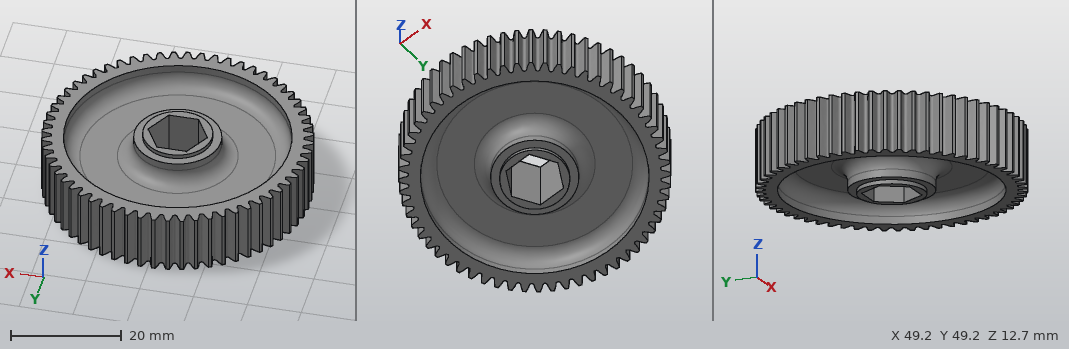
import cadquery as cq
import math

outer_width = 49.15
tooth_count = 60
pressure_angle = math.radians(20)
dedendum_factor = 1.25
form_depth_factor = 0.95
flank_points = 5

overall_height = 12.7
face_width = 11.1
web_thickness = 2.25
recess_radius = 20.65
recess_fillet = 2.95

hub_radius = 7.95
collar_radius = 6.35
hex_across_flats = 9.55
hex_across_corners = hex_across_flats / math.cos(math.pi / 6)


def involute(angle):
    return math.tan(angle) - angle


def gap_half_angle(radius_ratio):
    """Half of the angle a tooth gap spans at a given multiple of the pitch radius."""
    flank_angle = math.acos(math.cos(pressure_angle) / radius_ratio)
    return math.pi / (2 * tooth_count) + involute(flank_angle) - involute(pressure_angle)


tip_ratio = (tooth_count + 2) / tooth_count
tip_radius = outer_width / 2 / math.cos(gap_half_angle(tip_ratio))
pitch_radius = tip_radius / tip_ratio
module = 2 * pitch_radius / tooth_count
root_radius = pitch_radius - dedendum_factor * module
form_radius = pitch_radius - form_depth_factor * module


def flank_point(radius):
    angle = gap_half_angle(radius / pitch_radius)
    return (radius * math.cos(angle), radius * math.sin(angle))


def make_tooth_gap():
    """Cutter for the gap on the +X axis: two involute flanks joined by a smooth root."""
    radius_step = (tip_radius - form_radius) / (flank_points - 1)
    upper_flank = [flank_point(tip_radius - index * radius_step) for index in range(flank_points)]
    lower_flank = [(x, -y) for x, y in reversed(upper_flank)]
    gap_curve = upper_flank + [(root_radius, 0)] + lower_flank
    outside_x = tip_radius + module
    half_opening = upper_flank[0][1]
    return (
        cq.Workplane("XY")
        .workplane(offset=-face_width / 2)
        .moveTo(outside_x, half_opening)
        .lineTo(*upper_flank[0])
        .spline(gap_curve[1:], includeCurrent=True)
        .lineTo(outside_x, -half_opening)
        .close()
        .extrude(face_width)
    )


def make_toothed_disc():
    disc = cq.Workplane("XY").circle(tip_radius).extrude(face_width / 2, both=True)
    gap = make_tooth_gap().val()
    gaps = [
        gap.rotate((0, 0, 0), (0, 0, 1), index * 360 / tooth_count)
        for index in range(tooth_count)
    ]
    return cq.Workplane("XY").newObject([disc.val().cut(*gaps)])


def make_recess():
    """Ring-shaped pocket in the top face, rounded along both edges of its floor."""
    return (
        cq.Workplane("XY")
        .workplane(offset=web_thickness / 2)
        .circle(recess_radius)
        .circle(hub_radius)
        .extrude((face_width - web_thickness) / 2)
        .faces("<Z")
        .edges()
        .fillet(recess_fillet)
    )


recess = make_recess()
collars = cq.Workplane("XY").circle(collar_radius).extrude(overall_height / 2, both=True)
hex_bore = cq.Workplane("XY").polygon(6, hex_across_corners).extrude(overall_height / 2, both=True)

result = (
    make_toothed_disc()
    .cut(recess)
    .cut(recess.mirror("XY"))
    .union(collars)
    .cut(hex_bore)
)